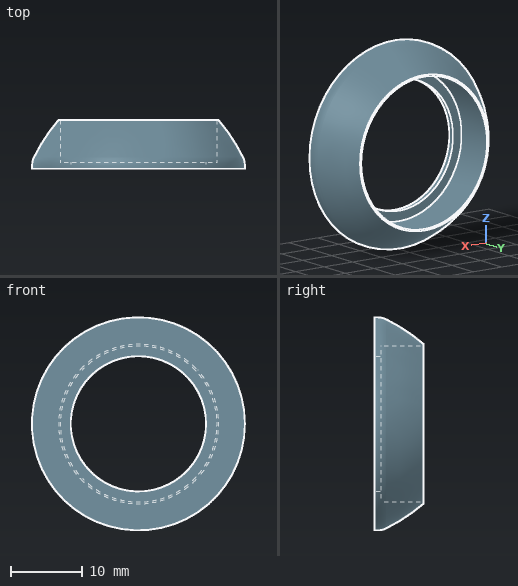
import cadquery as cq
import math

outer_radius = 15.0
ring_height = 6.9
rim_height = 0.5

blend_radius = 2.5
blend_top_height = 1.6
flank_radius = 25.0

lip_radius = 9.5
lip_thickness = 0.9
counterbore_radius = 11.0

blend_center_radius = outer_radius - blend_radius
blend_angle = math.asin((blend_top_height - rim_height) / blend_radius)

center_offset = flank_radius - blend_radius
flank_center_radius = blend_center_radius - center_offset * math.cos(blend_angle)
flank_center_height = rim_height - center_offset * math.sin(blend_angle)
flank_end_angle = math.asin((ring_height - flank_center_height) / flank_radius)


def blend_point(angle):
    """Point (radius, height) on the blend arc, angle measured from the rim direction."""
    return (
        blend_center_radius + blend_radius * math.cos(angle),
        rim_height + blend_radius * math.sin(angle),
    )


def flank_point(angle):
    """Point (radius, height) on the flank arc, angle measured from the rim direction."""
    return (
        flank_center_radius + flank_radius * math.cos(angle),
        flank_center_height + flank_radius * math.sin(angle),
    )


def ring_section():
    """Half section of the ring: radius along X, height along Y."""
    return (
        cq.Workplane("XY")
        .moveTo(lip_radius, 0)
        .lineTo(outer_radius, 0)
        .lineTo(outer_radius, rim_height)
        .threePointArc(blend_point(blend_angle / 2), blend_point(blend_angle))
        .threePointArc(flank_point((blend_angle + flank_end_angle) / 2), flank_point(flank_end_angle))
        .lineTo(counterbore_radius, ring_height)
        .lineTo(counterbore_radius, lip_thickness)
        .lineTo(lip_radius, lip_thickness)
        .close()
    )


result = ring_section().revolve(360, (0, 0, 0), (0, 1, 0))